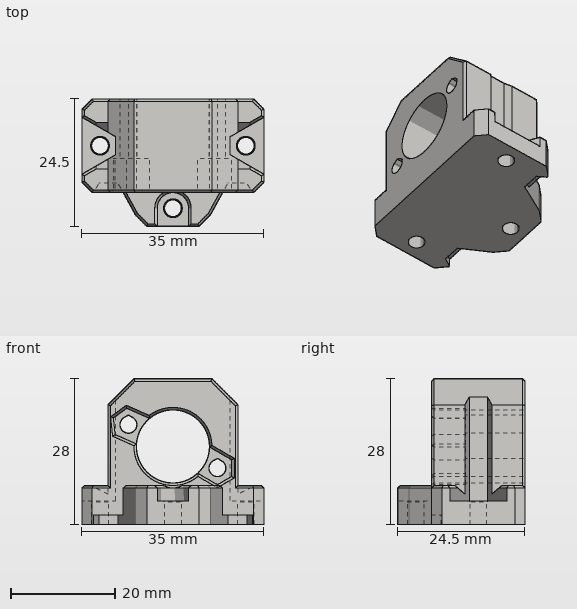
import cadquery as cq
import math

EDGE_CHAMFER = 0.5
OVERCUT = 1.0
TOLERANCE = 1e-3

BASE_WIDTH = 35.0
BASE_HEIGHT = 7.5
BASE_CORNER = 2.0
BODY_DEPTH = 18.0
BODY_WIDTH = 25.0
BODY_HEIGHT = 28.0
SHOULDER = 5.0

FOOT_TIP_Y = -15.5
FOOT_TIP_HALF = 5.0
FOOT_KNEE_Y = -13.3
FOOT_KNEE_HALF = 7.2
FOOT_ROOT_HALF = 9.55

SCREW_DIAMETER = 3.2
SCREW_CHAMFER = 0.2
SEAT_Z = 4.5
SIDE_HOLE_X = 14.0
SIDE_POCKET_APOTHEM = 3.0
GROOVE_SLOPE = 2 / math.sqrt(3)
GROOVE_START_X = -14.78
FOOT_HOLE_Y = -12.0
FOOT_SLOT_RADIUS = 3.0

BORE_DIAMETER = 14.0
BORE_Z = 15.0
NUT_FLATS = 5.5
NUT_POCKET_DEPTH = 6.5
NUT_RADIAL = 9.5
NUT_OPENING = 4.0
NUT_ANGLE = 26.0
LEFT_NUT_TILT = -24.0
RIGHT_NUT_TILT = 150.0

RELIEF_HALF_WIDTH = 15.25
RELIEF_DEPTH = 1.8
RELIEF_HEIGHT = 1.85

FRONT_Y = -BODY_DEPTH / 2
HEX_ANGLE = math.radians(30)
SLANT = math.tan(HEX_ANGLE)


def front_plane(y):
    """Sketch plane facing -Y at the given Y: local x is X, local y is Z."""
    return cq.Workplane("XZ", origin=(0, y, 0))


def make_body():
    half_base = BASE_WIDTH / 2
    half_body = BODY_WIDTH / 2
    right_side = [
        (half_base, 0),
        (half_base, BASE_HEIGHT),
        (half_body, BASE_HEIGHT),
        (half_body, BODY_HEIGHT - SHOULDER),
        (half_body - SHOULDER, BODY_HEIGHT),
    ]
    left_side = [(-x, z) for x, z in reversed(right_side)]
    body = front_plane(-FRONT_Y).polyline(right_side + left_side).close().extrude(BODY_DEPTH)

    corner_edges = [
        edge for edge in body.edges("|Z").vals()
        if abs(abs(edge.Center().x) - half_base) < TOLERANCE
    ]
    body = body.newObject(corner_edges).chamfer(BASE_CORNER)

    return body.newObject(body_rim_edges(body)).chamfer(EDGE_CHAMFER)


def body_rim_edges(body):
    """Edges of the front and back faces and of the base ends, above the base sides."""
    rim = []
    for edge in body.edges("not(|Y)").vals():
        centre = edge.Center()
        on_face = abs(abs(centre.y) - BODY_DEPTH / 2) < TOLERANCE
        on_base_end = abs(centre.x) > BASE_WIDTH / 2 - BASE_CORNER - TOLERANCE
        on_base_top = abs(centre.z - BASE_HEIGHT) < TOLERANCE
        on_housing = on_face and centre.z > BASE_HEIGHT - TOLERANCE
        if on_housing or (on_base_end and on_base_top):
            rim.append(edge)
    for edge in body.edges("|Y").vals():
        if abs(abs(edge.Center().x) - BASE_WIDTH / 2) < TOLERANCE and edge.Center().z > BASE_HEIGHT / 2:
            rim.append(edge)
    return rim


def make_relief():
    inner_half = RELIEF_HALF_WIDTH - SLANT * RELIEF_DEPTH
    outer_half = RELIEF_HALF_WIDTH + SLANT * OVERCUT
    outline = [
        (-outer_half, FRONT_Y - OVERCUT),
        (outer_half, FRONT_Y - OVERCUT),
        (inner_half, FRONT_Y + RELIEF_DEPTH),
        (-inner_half, FRONT_Y + RELIEF_DEPTH),
    ]
    return cq.Workplane("XY").polyline(outline).close().extrude(RELIEF_HEIGHT)


def make_foot():
    root_y = FRONT_Y + RELIEF_DEPTH
    flank = (FOOT_ROOT_HALF - FOOT_KNEE_HALF) / (FRONT_Y - FOOT_KNEE_Y)
    right_side = [
        (FOOT_TIP_HALF, FOOT_TIP_Y),
        (FOOT_KNEE_HALF, FOOT_KNEE_Y),
        (FOOT_ROOT_HALF + flank * RELIEF_DEPTH, root_y),
    ]
    left_side = [(-x, y) for x, y in reversed(right_side)]
    foot = cq.Workplane("XY").polyline(right_side + left_side).close().extrude(BASE_HEIGHT)

    slot_floor = cq.Workplane("XY", origin=(0, 0, SEAT_Z))
    slot_length = FOOT_HOLE_Y - FOOT_TIP_Y + OVERCUT
    slot = (
        slot_floor.center(0, FOOT_HOLE_Y - slot_length / 2)
        .rect(2 * FOOT_SLOT_RADIUS, slot_length)
        .extrude(BASE_HEIGHT)
        .union(slot_floor.center(0, FOOT_HOLE_Y).circle(FOOT_SLOT_RADIUS).extrude(BASE_HEIGHT))
    )
    foot = foot.cut(slot)
    top_edges = [
        edge for edge in foot.faces(">Z").edges().vals()
        if edge.Center().y < root_y - TOLERANCE
    ]
    return foot.newObject(top_edges).chamfer(EDGE_CHAMFER)


def make_side_pocket():
    """Cutter for the left recess: a half hexagon around the screw, widening outwards."""
    inner_x = SIDE_POCKET_APOTHEM - SIDE_HOLE_X
    inner_half = SIDE_POCKET_APOTHEM * SLANT
    outer_x = -BASE_WIDTH / 2 - OVERCUT
    outer_half = inner_half + SLANT * (inner_x - outer_x)
    outline = [
        (inner_x, inner_half),
        (outer_x, outer_half),
        (outer_x, -outer_half),
        (inner_x, -inner_half),
    ]
    pocket = (
        cq.Workplane("XY", origin=(0, 0, SEAT_Z))
        .polyline(outline).close()
        .extrude(BODY_HEIGHT)
    )
    return pocket.union(make_pocket_rim(outline, outer_x))


def make_pocket_rim(outline, outer_x):
    """Chamfer of the recess in the base top and the V-groove up to the housing side."""
    housing_x = -BODY_WIDTH / 2
    flare = (
        cq.Workplane("XY", origin=(0, 0, BASE_HEIGHT - EDGE_CHAMFER))
        .polyline(outline).close()
        .extrude(EDGE_CHAMFER, taper=-45)
    )
    inner_x, inner_half = outline[0]
    groove_half = inner_half + SLANT * (inner_x - GROOVE_START_X) + EDGE_CHAMFER * GROOVE_SLOPE
    groove = (
        cq.Workplane("YZ", origin=(GROOVE_START_X, 0, 0))
        .polyline([
            (-groove_half, BASE_HEIGHT),
            (groove_half, BASE_HEIGHT),
            (0, BASE_HEIGHT - groove_half / GROOVE_SLOPE),
        ]).close()
        .extrude(housing_x - GROOVE_START_X)
    )
    above_seat = cq.Workplane("XY", origin=(0, 0, SEAT_Z)).rect(
        BASE_WIDTH, BODY_DEPTH).extrude(BASE_HEIGHT)
    outside_housing = (
        cq.Workplane("XY")
        .box(housing_x - outer_x, BODY_DEPTH, BODY_HEIGHT, centered=(False, True, False))
        .translate((outer_x, 0, 0))
    )
    return flare.intersect(outside_housing).union(groove.intersect(above_seat))


def make_screw_hole(x, y):
    """Vertical through hole with a small chamfer at its seat."""
    radius = SCREW_DIAMETER / 2
    hole = cq.Workplane("XY").center(x, y).circle(radius).extrude(SEAT_Z)
    countersink = (
        cq.Workplane("XY", origin=(x, y, SEAT_Z))
        .circle(radius + SCREW_CHAMFER)
        .extrude(-SCREW_CHAMFER, taper=45)
    )
    return hole.union(countersink)


def make_bore():
    radius = BORE_DIAMETER / 2
    bore = front_plane(-FRONT_Y).center(0, BORE_Z).circle(radius).extrude(BODY_DEPTH)
    mouth = (
        front_plane(FRONT_Y).center(0, BORE_Z)
        .circle(radius + EDGE_CHAMFER)
        .extrude(-EDGE_CHAMFER, taper=45)
    )
    return bore.union(mouth)


def nut_prism(flats, depth, opening, taper=0):
    """Hexagon and a slot of the same width towards +X, sunk into the body front."""
    half = flats / 2
    corner = flats * SLANT
    outline = [
        (opening, half),
        (-corner / 2, half),
        (-corner, 0),
        (-corner / 2, -half),
        (opening, -half),
    ]
    return front_plane(FRONT_Y).polyline(outline).close().extrude(-depth, taper=taper)


def make_nut_pocket(x, z, tilt):
    """Nut pocket opening into the bore, and its screw hole with a peaked roof."""
    pocket = nut_prism(NUT_FLATS, NUT_POCKET_DEPTH, NUT_OPENING)
    mouth_flats = NUT_FLATS + 2 * EDGE_CHAMFER
    mouth = nut_prism(mouth_flats, EDGE_CHAMFER, NUT_OPENING + EDGE_CHAMFER, taper=45)
    pocket = pocket.union(mouth).rotate((0, 0, 0), (0, -1, 0), tilt)

    radius = SCREW_DIAMETER / 2
    touch_x = radius * math.sin(HEX_ANGLE)
    touch_z = radius * math.cos(HEX_ANGLE)
    peak_z = touch_z + touch_x * SLANT
    hole = (
        front_plane(-FRONT_Y)
        .moveTo(-touch_x, touch_z)
        .threePointArc((0, -radius), (touch_x, touch_z))
        .lineTo(0, peak_z)
        .close()
        .extrude(BODY_DEPTH)
    )
    return pocket.union(hole).translate((x, 0, z))


def make_part():
    part = make_body().cut(make_relief()).union(make_foot())

    side_pocket = make_side_pocket()
    part = part.cut(side_pocket).cut(side_pocket.mirror("YZ"))
    for x, y in [(-SIDE_HOLE_X, 0), (SIDE_HOLE_X, 0), (0, FOOT_HOLE_Y)]:
        part = part.cut(make_screw_hole(x, y))

    part = part.cut(make_bore())
    nut_x = NUT_RADIAL * math.cos(math.radians(NUT_ANGLE))
    nut_rise = NUT_RADIAL * math.sin(math.radians(NUT_ANGLE))
    part = part.cut(make_nut_pocket(-nut_x, BORE_Z + nut_rise, LEFT_NUT_TILT))
    return part.cut(make_nut_pocket(nut_x, BORE_Z - nut_rise, RIGHT_NUT_TILT))


result = make_part()